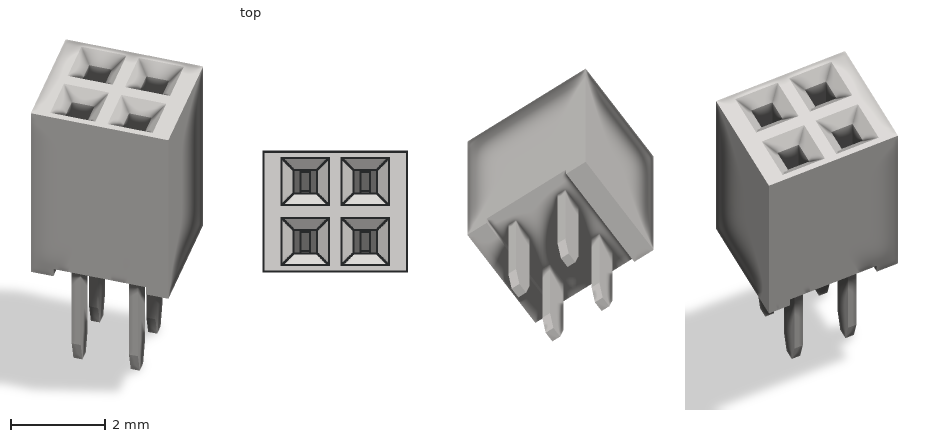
import cadquery as cq


pitch = 1.27
columns = 2
rows = 2

housing_length = 3.05
housing_width = rows * pitch
housing_height = 4.4
foot_length = 0.5
foot_height = 0.2

funnel_mouth = 1.0
well_side = 0.5
funnel_depth = (funnel_mouth - well_side) / 2
well_depth = housing_height / 2

overall_height = 7.0
tail_length = overall_height - housing_height
tail_thickness = 0.2
tail_width = 0.5
tail_tip_width = 0.25
tail_taper_length = 0.5

seat_floor_length = 0.4
seat_depth = (well_side - seat_floor_length) / 2

contact_positions = [
    ((column - (columns - 1) / 2) * pitch, (row - (rows - 1) / 2) * pitch)
    for column in range(columns)
    for row in range(rows)
]


def make_housing():
    """Block with a channel across its underside that leaves a foot at each end."""
    block = cq.Workplane("XY").box(
        housing_length, housing_width, housing_height, centered=(True, True, False)
    )
    channel_length = housing_length - 2 * foot_length
    channel = cq.Workplane("XY").box(
        channel_length, housing_width, foot_height, centered=(True, True, False)
    )
    return block.cut(channel)


def make_well():
    """Volume removed for one contact: funnel, square shaft and seat groove."""
    floor_z = housing_height - well_depth
    funnel = (
        cq.Workplane("XY", origin=(0, 0, housing_height))
        .rect(funnel_mouth, funnel_mouth)
        .workplane(offset=-funnel_depth)
        .rect(well_side, well_side)
        .loft(ruled=True)
    )
    shaft = (
        cq.Workplane("XY", origin=(0, 0, floor_z))
        .rect(well_side, well_side)
        .extrude(well_depth - funnel_depth)
    )
    seat = (
        cq.Workplane("YZ")
        .moveTo(-well_side / 2, floor_z)
        .lineTo(-seat_floor_length / 2, floor_z - seat_depth)
        .lineTo(seat_floor_length / 2, floor_z - seat_depth)
        .lineTo(well_side / 2, floor_z)
        .close()
        .extrude(tail_thickness / 2, both=True)
    )
    return funnel.union(shaft).union(seat)


def make_tail():
    """Flat tail hanging from the channel ceiling, narrowing in Y to a blunt tip."""
    tip_z = -tail_length
    taper_z = tip_z + tail_taper_length
    return (
        cq.Workplane("YZ")
        .moveTo(-tail_width / 2, foot_height)
        .lineTo(-tail_width / 2, taper_z)
        .lineTo(-tail_tip_width / 2, tip_z)
        .lineTo(tail_tip_width / 2, tip_z)
        .lineTo(tail_width / 2, taper_z)
        .lineTo(tail_width / 2, foot_height)
        .close()
        .extrude(tail_thickness / 2, both=True)
    )


well = make_well()
tail = make_tail()
result = make_housing()
for x, y in contact_positions:
    result = result.cut(well.translate((x, y, 0)))
    result = result.union(tail.translate((x, y, 0)))